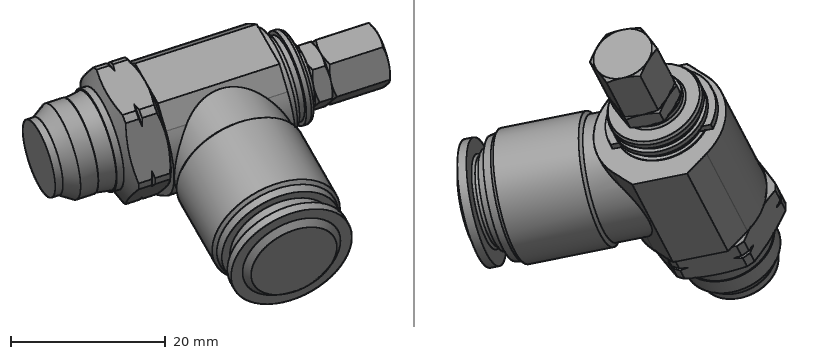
import cadquery as cq
import math


SCREW_HEX_FLATS = 17.0
SCREW_HEX_CORNER_RADIUS = 9.5
STEM_RADIUS = 6.45
GROOVE_RADIUS = 5.9
ADJUSTER_FLATS = 7.95

HOUSING_WIDTH = 18.0
HOUSING_LENGTH = 17.1
HOUSING_RADIUS = HOUSING_WIDTH / 2
HOUSING_END = HOUSING_LENGTH / 2
NECK_RADIUS = 8.5

OFFSET_X = 0.48
OFFSET_Z = SCREW_HEX_FLATS / 2 - HOUSING_RADIUS

NECK_END_X = 10.92
BARREL_START_X = 11.35
BARREL_END_X = 22.95
BARREL_LIP_X = 23.4
GUIDE_END_X = 24.5
COLLET_END_X = 25.7
SLEEVE_NECK_END_X = 26.35
FLANGE_START_X = 26.75
FLANGE_END_X = 28.0
SLEEVE_END_X = 28.8

GUIDE_START_RADIUS = 8.55
GUIDE_END_RADIUS = 8.3
COLLET_START_RADIUS = 7.15
COLLET_END_RADIUS = 6.8
SLEEVE_NECK_RADIUS = 6.05
SLEEVE_NECK_FLARE_RADIUS = 6.3
FLANGE_RADIUS = 8.5
SLEEVE_RIM_RADIUS = 6.9
SLEEVE_END_RADIUS = 6.05

TIP_Y = -23.45
TIP_CONE_Y = -22.35
THREAD_START_Y = -20.42
THREAD_END_Y = -17.9
SEAT_START_Y = -15.55
SEAT_END_Y = -14.55
HEX_LOWER_CORNER_Y = -13.55
HEX_NOTCH_Y = -11.45
HEX_UPPER_CORNER_Y = -9.1
CLIP_START_Y = 8.7
CLIP_END_Y = 9.65
UPPER_GROOVE_START_Y = 10.4
UPPER_GROOVE_END_Y = 11.35
STEM_CHAMFER_Y = 12.05
STEM_END_Y = 12.5
NECK_FLARE_Y = 12.82
NUT_START_Y = 13.5
NUT_END_Y = 15.9
KNOB_END_Y = 24.05

TIP_RADIUS = 5.3
THREAD_RADIUS = 6.55
RELIEF_LOWER_RADIUS = 6.4
RELIEF_UPPER_RADIUS = 6.8
SEAT_RADIUS = 7.05
HEX_NOTCH_DEPTH = 0.45
HEX_NOTCH_HALF_WIDTH = 0.25
STEM_CHAMFER_RADIUS = 6.2
NECK_FLARE_RADIUS = 4.35
ADJUSTER_NECK_RADIUS = 4.1
ADJUSTER_CHAMFER = 0.35
CLIP_RADIUS = 7.5
CLIP_OPENING_Z = -3.15


def revolve_about_x(points, center_z):
    """Turn an (x, radius) outline about the X-parallel axis at height center_z."""
    outline = [(points[0][0], 0)] + points + [(points[-1][0], 0)]
    solid = cq.Workplane("XY").polyline(outline).close().revolve(360, (0, 0, 0), (1, 0, 0))
    return solid.translate((0, 0, center_z))


def revolve_about_y(points):
    """Turn a (radius, y) outline about the Y axis."""
    outline = [(0, points[0][1])] + points + [(0, points[-1][1])]
    return cq.Workplane("XY").polyline(outline).close().revolve(360, (0, 0, 0), (0, 1, 0))


def hexagon_bar(flats, start_y, end_y):
    """Hexagonal bar along Y with corners on +-X and flats on +-Z."""
    corner_diameter = flats / math.cos(math.pi / 6)
    bar = cq.Workplane("XZ").polygon(6, corner_diameter).extrude(start_y - end_y)
    return bar.translate((0, start_y, 0))


def cylinder_along_y(radius, start_y, end_y):
    return revolve_about_y([(radius, start_y), (radius, end_y)])


def housing_barrel():
    """Body along Y: rounded sides, with half-octagon flats at the top and bottom."""
    flat_half = HOUSING_RADIUS * math.tan(math.pi / 8)
    tangent = HOUSING_RADIUS * math.sin(math.pi / 4)
    return (
        cq.Workplane("XZ")
        .moveTo(-flat_half, HOUSING_RADIUS)
        .lineTo(flat_half, HOUSING_RADIUS)
        .lineTo(tangent, tangent)
        .threePointArc((HOUSING_RADIUS, 0), (tangent, -tangent))
        .lineTo(flat_half, -HOUSING_RADIUS)
        .lineTo(-flat_half, -HOUSING_RADIUS)
        .lineTo(-tangent, -tangent)
        .threePointArc((-HOUSING_RADIUS, 0), (-tangent, tangent))
        .close()
        .extrude(HOUSING_END, both=True)
        .translate((OFFSET_X, 0, OFFSET_Z))
    )


def tube_port():
    """Neck, barrel, collet and release sleeve of the push-in tube connection."""
    outline = [
        (OFFSET_X, NECK_RADIUS),
        (NECK_END_X, NECK_RADIUS),
        (BARREL_START_X, HOUSING_RADIUS),
        (BARREL_END_X, HOUSING_RADIUS),
        (BARREL_LIP_X, GUIDE_START_RADIUS),
        (GUIDE_END_X, GUIDE_END_RADIUS),
        (GUIDE_END_X, COLLET_START_RADIUS),
        (COLLET_END_X, COLLET_END_RADIUS),
        (COLLET_END_X, SLEEVE_NECK_RADIUS),
        (SLEEVE_NECK_END_X, SLEEVE_NECK_RADIUS),
        (FLANGE_START_X, SLEEVE_NECK_FLARE_RADIUS),
        (FLANGE_START_X, FLANGE_RADIUS),
        (FLANGE_END_X, FLANGE_RADIUS),
        (FLANGE_END_X, SLEEVE_RIM_RADIUS),
        (SLEEVE_END_X, SLEEVE_END_RADIUS),
    ]
    return revolve_about_x(outline, OFFSET_Z)


def elbow_housing():
    bore = cylinder_along_y(STEM_RADIUS, -HOUSING_END, HOUSING_END)
    return housing_barrel().union(tube_port()).cut(bore)


def screw_hexagon():
    """Hexagon with turned corners, cone-chamfered ends and a V notch around its corners."""
    notch_radius = SCREW_HEX_CORNER_RADIUS - HEX_NOTCH_DEPTH
    envelope = revolve_about_y([
        (SEAT_RADIUS, SEAT_END_Y),
        (SCREW_HEX_CORNER_RADIUS, HEX_LOWER_CORNER_Y),
        (SCREW_HEX_CORNER_RADIUS, HEX_NOTCH_Y - HEX_NOTCH_HALF_WIDTH),
        (notch_radius, HEX_NOTCH_Y),
        (SCREW_HEX_CORNER_RADIUS, HEX_NOTCH_Y + HEX_NOTCH_HALF_WIDTH),
        (SCREW_HEX_CORNER_RADIUS, HEX_UPPER_CORNER_Y),
        (SCREW_HEX_FLATS / 2, -HOUSING_END),
    ])
    return hexagon_bar(SCREW_HEX_FLATS, SEAT_END_Y, -HOUSING_END).intersect(envelope)


def threaded_end():
    """Tapered tip, plain thread cylinder, relief and seat below the hexagon."""
    return revolve_about_y([
        (TIP_RADIUS, TIP_Y),
        (TIP_RADIUS, TIP_CONE_Y),
        (THREAD_RADIUS, THREAD_START_Y),
        (THREAD_RADIUS, THREAD_END_Y),
        (RELIEF_LOWER_RADIUS, THREAD_END_Y),
        (RELIEF_UPPER_RADIUS, SEAT_START_Y),
        (SEAT_RADIUS, SEAT_START_Y),
        (SEAT_RADIUS, SEAT_END_Y),
    ])


def stem():
    """Cylinder through the housing, with two ring grooves and a neck for the adjuster."""
    return revolve_about_y([
        (STEM_RADIUS, -HOUSING_END),
        (STEM_RADIUS, CLIP_START_Y),
        (GROOVE_RADIUS, CLIP_START_Y),
        (GROOVE_RADIUS, CLIP_END_Y),
        (STEM_RADIUS, CLIP_END_Y),
        (STEM_RADIUS, UPPER_GROOVE_START_Y),
        (GROOVE_RADIUS, UPPER_GROOVE_START_Y),
        (GROOVE_RADIUS, UPPER_GROOVE_END_Y),
        (STEM_RADIUS, UPPER_GROOVE_END_Y),
        (STEM_RADIUS, STEM_CHAMFER_Y),
        (STEM_CHAMFER_RADIUS, STEM_END_Y),
        (NECK_FLARE_RADIUS, STEM_END_Y),
        (ADJUSTER_NECK_RADIUS, NECK_FLARE_Y),
        (ADJUSTER_NECK_RADIUS, NUT_START_Y),
    ])


def retaining_clip():
    """Open ring that fills the lower stem groove and stands out above it."""
    ring = cylinder_along_y(CLIP_RADIUS, CLIP_START_Y, CLIP_END_Y)
    opening_height = CLIP_RADIUS + CLIP_OPENING_Z
    opening = (
        cq.Workplane("XY")
        .box(2 * CLIP_RADIUS, CLIP_END_Y - CLIP_START_Y, opening_height)
        .translate((0, (CLIP_START_Y + CLIP_END_Y) / 2, CLIP_OPENING_Z - opening_height / 2))
    )
    return ring.cut(opening)


def chamfered_hexagon(start_y, end_y):
    """Adjuster-size hexagon on the offset axis, cone-chamfered at both ends."""
    corner_radius = ADJUSTER_FLATS / 2 / math.cos(math.pi / 6)
    end_radius = ADJUSTER_FLATS / 2
    envelope = revolve_about_y([
        (end_radius, start_y),
        (corner_radius, start_y + ADJUSTER_CHAMFER),
        (corner_radius, end_y - ADJUSTER_CHAMFER),
        (end_radius, end_y),
    ])
    bar = hexagon_bar(ADJUSTER_FLATS, start_y, end_y).intersect(envelope)
    return bar.translate((OFFSET_X, 0, OFFSET_Z))


def valve_screw():
    lock_nut = chamfered_hexagon(NUT_START_Y, NUT_END_Y)
    knob = chamfered_hexagon(NUT_END_Y, KNOB_END_Y)
    screw = threaded_end().union(screw_hexagon()).union(stem()).union(retaining_clip())
    return screw.union(lock_nut).union(knob)


housing = elbow_housing()
screw = valve_screw()

result = cq.Compound.makeCompound([housing.solids().val(), screw.solids().val()])